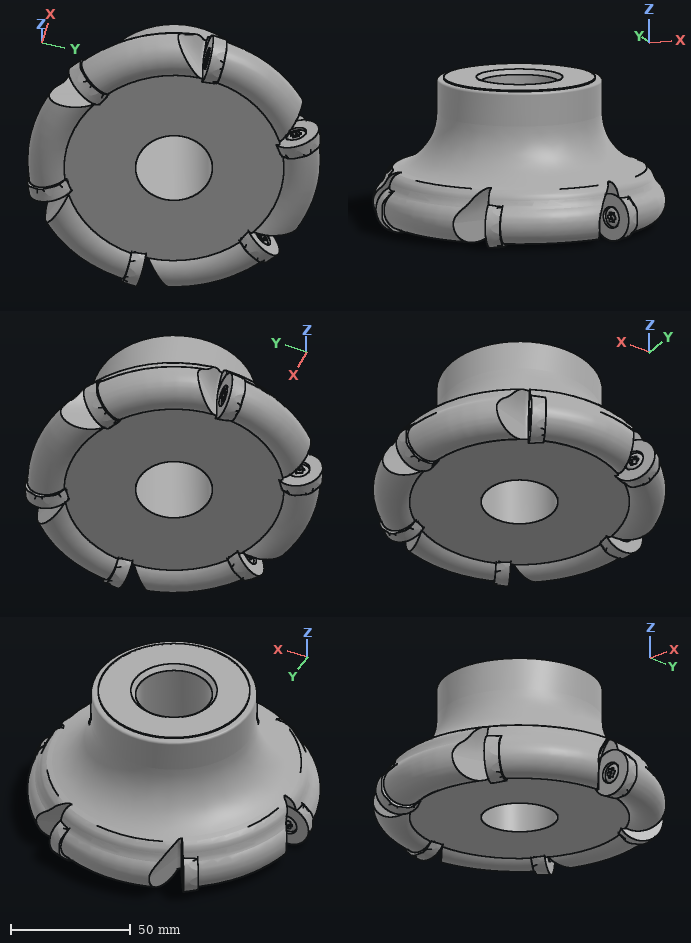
import cadquery as cq
import math

TEETH = 6
TOTAL_HEIGHT = 63.0
CUTTING_RADIUS = 62.5

HUB_DIAMETER = 69.2
HUB_FILLET = 1.0
FACE_DIAMETER = 63.2
FACE_STEP = 0.5
BORE_DIAMETER = 32.0
BORE_CHAMFER = 2.0

FLARE_TOP_Z = 48.2
FLARE_RADIUS = 24.1
FLARE_END_ANGLE = 71.0
SKIRT_END_RADIUS = 53.1

BEAD_RADIUS = 56.2
BEAD_Z = 20.7
BEAD_MID_RADIUS = 55.1
BEAD_MID_Z = 23.0

RIM_ROUND = 8.9
RIM_OUTER_RADIUS = 61.1
RIM_Z = 10.6
RIM_NECK_Z = 17.4
UNDERSIDE_Z = 4.5

INSERT_RADIUS = 10.0
INSERT_THICKNESS = 6.1
INSERT_CLEARANCE_ANGLE = 5.0
FACET_COUNT = 8
FACET_ANGLE = 10.0
FACET_START_DEPTH = 2.4

SEAT_DIAMETER = 9.0
HEAD_DIAMETER = 8.5
HEAD_EDGE_DEPTH = 1.1
HEAD_TOP_DIAMETER = 5.4
HEAD_TOP_DEPTH = 0.2
DOME_BULGE = 0.1
SOCKET_CORE_DIAMETER = 3.2
SOCKET_LOBE_DIAMETER = 1.2
SOCKET_LOBE_COUNT = 6
SOCKET_DEPTH = 2.0

GULLET_FLOOR_RADIUS = 45.6
GULLET_CORNER_RADIUS = 2.5
GULLET_WALL_ANGLE = 44.0
GULLET_BEND_Z = 10.9
GULLET_BEND_RADIUS = 20.2

INSERT_CENTER_RADIUS = CUTTING_RADIUS - INSERT_RADIUS
INSERT_CENTER_Z = INSERT_RADIUS
PITCH_ANGLE = 360.0 / TEETH


def tan_deg(angle):
    return math.tan(math.radians(angle))


def turned_to_tooth(shape, index):
    """Turn a shape made for the tooth on the +X axis to another tooth."""
    return shape.rotate((0, 0, 0), (0, 0, 1), index * PITCH_ANGLE)


def make_body_blank():
    """Revolve the body outline, with the bore through it."""
    hub_radius = HUB_DIAMETER / 2
    face_radius = FACE_DIAMETER / 2
    bore_radius = BORE_DIAMETER / 2
    ledge_z = TOTAL_HEIGHT - FACE_STEP
    fillet_inset = HUB_FILLET * (1 - math.sqrt(0.5))

    flare_center_radius = hub_radius + FLARE_RADIUS

    def flare_point(angle):
        turn = math.radians(angle)
        return (
            flare_center_radius - FLARE_RADIUS * math.cos(turn),
            FLARE_TOP_Z - FLARE_RADIUS * math.sin(turn),
        )

    flare_end = flare_point(FLARE_END_ANGLE)
    skirt_drop = (SKIRT_END_RADIUS - flare_end[0]) / tan_deg(FLARE_END_ANGLE)
    skirt_end = (SKIRT_END_RADIUS, flare_end[1] - skirt_drop)

    rim_center_radius = RIM_OUTER_RADIUS - RIM_ROUND

    def rim_width(z):
        return math.sqrt(RIM_ROUND**2 - (z - RIM_Z) ** 2)

    neck = (rim_center_radius + rim_width(RIM_NECK_Z), RIM_NECK_Z)
    rim_low = (rim_center_radius + rim_width(UNDERSIDE_Z), UNDERSIDE_Z)
    rim_inner = (rim_center_radius - rim_width(UNDERSIDE_Z), UNDERSIDE_Z)

    return (
        cq.Workplane("XZ")
        .moveTo(bore_radius, UNDERSIDE_Z)
        .lineTo(bore_radius, TOTAL_HEIGHT - BORE_CHAMFER)
        .lineTo(bore_radius + BORE_CHAMFER, TOTAL_HEIGHT)
        .lineTo(face_radius, TOTAL_HEIGHT)
        .lineTo(face_radius, ledge_z)
        .lineTo(hub_radius - HUB_FILLET, ledge_z)
        .threePointArc(
            (hub_radius - fillet_inset, ledge_z - fillet_inset),
            (hub_radius, ledge_z - HUB_FILLET),
        )
        .lineTo(hub_radius, FLARE_TOP_Z)
        .threePointArc(flare_point(FLARE_END_ANGLE / 2), flare_end)
        .lineTo(*skirt_end)
        .threePointArc((BEAD_MID_RADIUS, BEAD_MID_Z), (BEAD_RADIUS, BEAD_Z))
        .tangentArcPoint(neck, relative=False)
        .threePointArc((RIM_OUTER_RADIUS, RIM_Z), rim_low)
        .threePointArc((rim_center_radius, RIM_Z - RIM_ROUND), rim_inner)
        .close()
        .revolve(360, (0, 0, 0), (0, 1, 0))
    )


def make_gullet():
    """Gullet cutter for the tooth on +X: straight at the bottom, bent outwards above.

    Its section lies between the rake face (y = 0) and a slanted wall, with a rounded
    corner at the inner end.
    """
    bend_axis_radius = GULLET_FLOOR_RADIUS + GULLET_BEND_RADIUS
    wall = math.radians(GULLET_WALL_ANGLE)
    corner = GULLET_CORNER_RADIUS

    def corner_point(turn):
        return (
            GULLET_FLOOR_RADIUS + corner * (1 - math.cos(turn)),
            -corner * math.sin(turn),
        )

    wall_start = corner_point(wall)
    wall_end_y = wall_start[1] - (bend_axis_radius - wall_start[0]) * math.tan(wall)

    def section():
        return (
            cq.Workplane("XY")
            .workplane(offset=GULLET_BEND_Z)
            .moveTo(bend_axis_radius, 0)
            .lineTo(GULLET_FLOOR_RADIUS, 0)
            .threePointArc(corner_point(wall / 2), wall_start)
            .lineTo(bend_axis_radius, wall_end_y)
            .close()
        )

    straight = section().extrude(-GULLET_BEND_Z)
    bent = section().revolve(90, (bend_axis_radius, 0, 0), (bend_axis_radius, 1, 0))
    return straight.union(bent)


def rake_plane():
    """Plane of the rake face, its normal pointing into the insert (+Y)."""
    return cq.Workplane(
        cq.Plane(
            origin=(INSERT_CENTER_RADIUS, 0, INSERT_CENTER_Z),
            xDir=(1, 0, 0),
            normal=(0, 1, 0),
        )
    )


def make_insert_blank():
    """Solid insert for the tooth on +X: a cone with flats around its rear half."""
    cone = rake_plane().circle(INSERT_RADIUS).extrude(INSERT_THICKNESS, taper=INSERT_CLEARANCE_ANGLE)
    facet_start_radius = INSERT_RADIUS - FACET_START_DEPTH * tan_deg(INSERT_CLEARANCE_ANGLE)
    facet_front_radius = facet_start_radius + FACET_START_DEPTH * tan_deg(FACET_ANGLE)
    facets = (
        rake_plane()
        .polygon(FACET_COUNT, 2 * facet_front_radius, circumscribed=True)
        .extrude(INSERT_THICKNESS, taper=FACET_ANGLE)
    )
    return cone.intersect(facets)


def make_screw_recess():
    """Cutter that leaves a domed screw head standing in a round seat."""
    head_radius = HEAD_DIAMETER / 2
    top_radius = HEAD_TOP_DIAMETER / 2
    dome_middle = (
        (head_radius + top_radius) / 2 + DOME_BULGE,
        (HEAD_EDGE_DEPTH + HEAD_TOP_DEPTH) / 2 - DOME_BULGE,
    )
    seat = (
        cq.Workplane("XY")
        .lineTo(SEAT_DIAMETER / 2, 0)
        .lineTo(head_radius, HEAD_EDGE_DEPTH)
        .threePointArc(dome_middle, (top_radius, HEAD_TOP_DEPTH))
        .lineTo(0, HEAD_TOP_DEPTH)
        .close()
        .revolve(360, (0, 0, 0), (0, 1, 0))
        .translate((INSERT_CENTER_RADIUS, 0, INSERT_CENTER_Z))
    )
    core = rake_plane().circle(SOCKET_CORE_DIAMETER / 2).extrude(SOCKET_DEPTH)
    lobes = (
        rake_plane()
        .polarArray(SOCKET_CORE_DIAMETER / 2, 0, 360, SOCKET_LOBE_COUNT)
        .circle(SOCKET_LOBE_DIAMETER / 2)
        .extrude(SOCKET_DEPTH)
    )
    return seat.union(core).union(lobes)


insert_blank = make_insert_blank()
insert = insert_blank.cut(make_screw_recess())
gullet = make_gullet()

body = make_body_blank()
inserts = []
for tooth in range(TEETH):
    body = body.cut(turned_to_tooth(gullet, tooth))
    body = body.cut(turned_to_tooth(insert_blank, tooth))
    inserts.append(turned_to_tooth(insert, tooth).solids().val())

result = cq.Compound.makeCompound([body.solids().val(), *inserts])